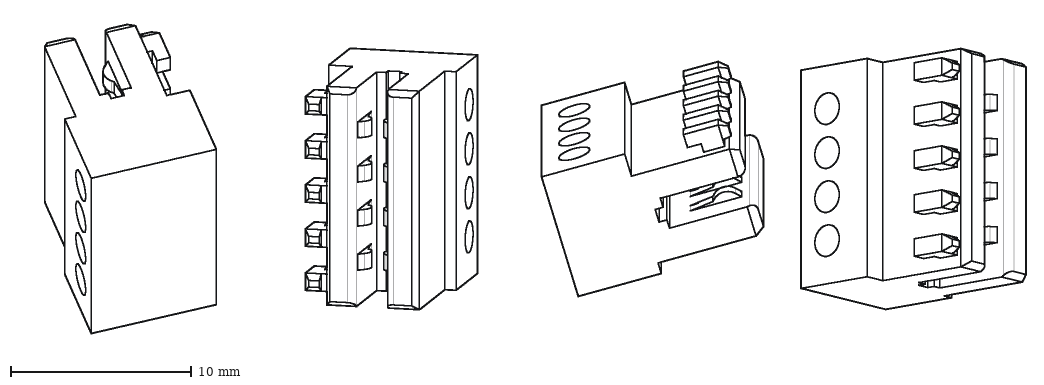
import cadquery as cq
import math

length = 11.0
depth = 7.3
height = 12.4
pitch = 2.5
pole_count = 4

block_start_x = 6.19
front_arm_outer_y = 0.65
front_arm_inner_y = 2.43
rear_arm_inner_y = 4.25
rear_arm_outer_y = 5.95
slot_end_x = 5.01

groove_end_x = 5.47
groove_front_y = 2.94
groove_rear_y = 3.71

arm_lead_in = 0.52
arm_chamfer = 0.31
arm_inner_radius = 0.41

hole_x = 9.1
hole_diameter = 1.77

contact_width = 0.9
contact_start_x = 0.83
contact_height = 0.55
contact_arc_height = 0.3
contact_bend_height = 0.17
contact_end_x = 3.82

hook_count = pole_count + 1
hook_width = 0.99
hook_tip_x = 0.31
hook_stem_start_x = 0.79
hook_stem_end_x = 2.01
hook_end_x = 2.8
hook_top_y = 7.25
hook_tip_bottom_y = 6.34
hook_lip_bottom_y = 6.46
hook_chamfer = 0.31

overlap = 0.12


def row_positions(count):
    """Z positions of evenly pitched features centred on the part."""
    return [(i - (count - 1) / 2) * pitch for i in range(count)]


def extrude_centred(outline, total_height, z=0.0):
    """Extrude an XY outline symmetrically about the level z."""
    return outline.extrude(total_height / 2, both=True).translate((0, 0, z))


def tapered_tip_envelope(start_x, end_x, lead_in, chamfer, total_height):
    """Slab through the full depth whose top and bottom edges slope in towards start_x."""
    half = total_height / 2
    return (
        cq.Workplane("XZ")
        .moveTo(start_x, -half + chamfer)
        .lineTo(start_x + lead_in, -half)
        .lineTo(end_x, -half)
        .lineTo(end_x, half)
        .lineTo(start_x + lead_in, half)
        .lineTo(start_x, half - chamfer)
        .close()
        .extrude(-depth)
    )


def make_housing():
    """Block with two arms: outer tip edges chamfered, inner tip edges rounded."""
    r = arm_inner_radius
    outline = (
        cq.Workplane("XY")
        .moveTo(length, 0)
        .lineTo(length, depth)
        .lineTo(block_start_x, depth)
        .lineTo(block_start_x, rear_arm_outer_y)
        .lineTo(arm_lead_in, rear_arm_outer_y)
        .lineTo(0, rear_arm_outer_y - arm_chamfer)
        .lineTo(0, rear_arm_inner_y + r)
        .radiusArc((r, rear_arm_inner_y), -r)
        .lineTo(slot_end_x, rear_arm_inner_y)
        .lineTo(slot_end_x, groove_rear_y)
        .lineTo(groove_end_x, groove_rear_y)
        .lineTo(groove_end_x, groove_front_y)
        .lineTo(slot_end_x, groove_front_y)
        .lineTo(slot_end_x, front_arm_inner_y)
        .lineTo(r, front_arm_inner_y)
        .radiusArc((0, front_arm_inner_y - r), -r)
        .lineTo(0, front_arm_outer_y + arm_chamfer)
        .lineTo(arm_lead_in, front_arm_outer_y)
        .lineTo(block_start_x, front_arm_outer_y)
        .lineTo(block_start_x, 0)
        .close()
    )
    envelope = tapered_tip_envelope(0, length, arm_lead_in, arm_chamfer, height)
    return extrude_centred(outline, height).intersect(envelope)


def make_wire_holes():
    """Row of round holes running through the block along Y."""
    centres = [(hole_x, z) for z in row_positions(pole_count)]
    return cq.Workplane("XZ").pushPoints(centres).circle(hole_diameter / 2).extrude(-depth)


def make_contact(wall_y, outward, z):
    """Spring bump: 45 degree ramps tangent to a round crest, then a shallow tail.

    outward is +1 or -1, the Y direction in which the bump leaves the wall.
    """
    crest_radius = (contact_height - contact_arc_height) / (1 - math.cos(math.radians(45)))
    arc_half_span = crest_radius * math.sin(math.radians(45))
    arc_start_x = contact_start_x + contact_arc_height
    crest_x = arc_start_x + arc_half_span
    arc_end_x = crest_x + arc_half_span
    bend_x = arc_end_x + contact_arc_height - contact_bend_height

    def point(x, rise):
        return (x, wall_y + outward * rise)

    outline = (
        cq.Workplane("XY")
        .moveTo(*point(contact_start_x, -overlap))
        .lineTo(*point(contact_start_x, 0))
        .lineTo(*point(arc_start_x, contact_arc_height))
        .threePointArc(point(crest_x, contact_height), point(arc_end_x, contact_arc_height))
        .lineTo(*point(bend_x, contact_bend_height))
        .lineTo(*point(contact_end_x, 0))
        .lineTo(*point(contact_end_x, -overlap))
        .close()
    )
    return extrude_centred(outline, contact_width, z)


def make_hook(z):
    """T-shaped hook with a tapered tip, standing on the rear arm."""
    outline = (
        cq.Workplane("XY")
        .moveTo(hook_stem_start_x, rear_arm_outer_y - overlap)
        .lineTo(hook_stem_start_x, hook_tip_bottom_y)
        .lineTo(hook_tip_x, hook_tip_bottom_y)
        .lineTo(hook_tip_x, hook_top_y - hook_chamfer)
        .lineTo(hook_stem_start_x, hook_top_y)
        .lineTo(hook_end_x, hook_top_y)
        .lineTo(hook_end_x, hook_lip_bottom_y)
        .lineTo(hook_stem_end_x, hook_lip_bottom_y)
        .lineTo(hook_stem_end_x, rear_arm_outer_y - overlap)
        .close()
    )
    lead_in = hook_stem_start_x - hook_tip_x
    envelope = tapered_tip_envelope(hook_tip_x, hook_end_x, lead_in, hook_chamfer, hook_width)
    return extrude_centred(outline, hook_width).intersect(envelope).translate((0, 0, z))


result = make_housing().cut(make_wire_holes())

for contact_z in row_positions(pole_count):
    result = result.union(make_contact(front_arm_inner_y, 1, contact_z))
    result = result.union(make_contact(rear_arm_inner_y, -1, contact_z))

for hook_z in row_positions(hook_count):
    result = result.union(make_hook(hook_z))